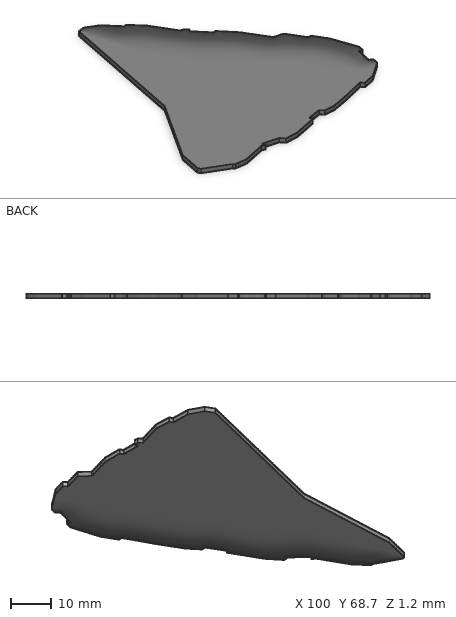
import cadquery as cq

LENGTH = 100.0
HEIGHT = 68.73
THICKNESS = 1.2

BASE_Y = 8.75
SLOPE_START_X = 57.0
FOOT_START_X = 89.6
FOOT_CHAMFER = 0.7
LEFT_CHAMFER_X = 1.9
LEFT_CHAMFER_Y = 2.0
LEFT_WALL_TOP_Y = 15.3

LIP_DEPTH = 0.25
LIP_BOTTOM_Y = 9.1
LIP_HEIGHT = 0.7

NOSE_AXIS_X = 44.05
NOTCH_DEPTH = 1.2
NOTCH_FLOOR_HALF = 3.2
NOTCH_MOUTH_HALF = 3.5
CROWN_HALF = 5.85
SHOULDER_HALF = 13.85
SHOULDER_Y = 64.2
BARB_HALF = 17.3
BARB_Y = 60.7
BARB_ROOT_HALF = 16.7
BARB_ROOT_Y = 59.6

LOWER_LEFT_STEP = [(3.0, 20.6), (2.2, 21.3), (4.7, 25.9)]
LEFT_TAB = [(11.0, 32.2), (10.6, 33.4), (11.1, 34.5), (12.3, 34.2)]
MIDDLE_LEFT_STEP = [(15.4, 39.4), (14.6, 40.1), (17.7, 45.3)]
UPPER_LEFT_STEP = [(24.0, 51.7), (22.8, 55.0)]

UPPER_RIGHT_STEP = [(67.3, 53.4), (72.9, 47.6), (74.9, 44.2), (74.2, 43.0)]
RIGHT_NOTCH = [(78.1, 38.8), (79.1, 39.3)]
MIDDLE_RIGHT_STEP = [(86.2, 32.1), (88.8, 28.0), (87.8, 26.6)]
RIGHT_TAB = [(89.8, 21.2), (91.0, 21.6), (91.2, 20.4)]
LOWER_RIGHT_SHOULDER = [(98.0, 13.6)]


def nose_half(side):
    """Corners of one half of the nose, from the flank up to the notch; side is -1 or 1."""
    corners = [
        (BARB_ROOT_HALF, BARB_ROOT_Y),
        (BARB_HALF, BARB_Y),
        (SHOULDER_HALF, SHOULDER_Y),
        (CROWN_HALF, HEIGHT),
        (NOTCH_MOUTH_HALF, HEIGHT),
        (NOTCH_FLOOR_HALF, HEIGHT - NOTCH_DEPTH),
    ]
    return [(NOSE_AXIS_X + side * offset, y) for offset, y in corners]


def left_end():
    """Chamfered lower-left corner and the short left wall."""
    return [
        (LEFT_CHAMFER_X, BASE_Y),
        (0, BASE_Y + LEFT_CHAMFER_Y),
        (0, LEFT_WALL_TOP_Y),
    ]


def right_end():
    """Lip, right wall, chamfered foot and the start of the sloping lower edge."""
    wall_x = LENGTH - LIP_DEPTH
    return [
        (LENGTH, LIP_BOTTOM_Y + LIP_HEIGHT),
        (LENGTH, LIP_BOTTOM_Y),
        (wall_x, LIP_BOTTOM_Y),
        (wall_x, FOOT_CHAMFER),
        (wall_x - FOOT_CHAMFER, 0),
        (FOOT_START_X, 0),
        (SLOPE_START_X, BASE_Y),
    ]


def outline():
    """Closed outline of the plate, clockwise from the lower-left corner."""
    left_flank = LOWER_LEFT_STEP + LEFT_TAB + MIDDLE_LEFT_STEP + UPPER_LEFT_STEP
    nose = nose_half(-1) + nose_half(1)[::-1]
    right_flank = UPPER_RIGHT_STEP + RIGHT_NOTCH + MIDDLE_RIGHT_STEP + RIGHT_TAB + LOWER_RIGHT_SHOULDER
    return left_end() + left_flank + nose + right_flank + right_end()


result = cq.Workplane("XY").polyline(outline()).close().extrude(THICKNESS)